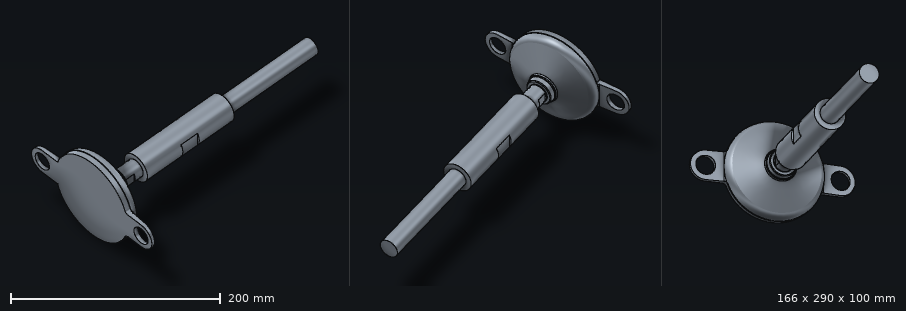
import cadquery as cq
import math


sole_radius = 49.3
rim_radius = 100.0 / 2
rim_bottom = 6.5
rim_top = 8.7
cone_bottom_radius = 45.0
cone_bottom = 16.2
shoulder_bulge_radius = 48.0
shoulder_bulge_height = 13.3
cone_top_radius = 16.2
cone_top = 26.7
lip_radius = 15.5
lip_bottom = 28.0
lip_top = 29.5
collar_bottom_radius = 14.8
collar_top_radius = 14.0
collar_edge = 34.5
collar_chamfer = 1.0
collar_top = collar_edge + collar_chamfer
seat_radius = 10.2
seat_top = 36.2

overall_length = 166.0
ear_width = 30.2
ear_hole_diameter = 19.0
corner_fillet = 4.4
corner_margin = 0.3
ear_root_thickness = 5.8
ear_tip_thickness = 3.8
ear_tip = overall_length / 2
ear_hole_offset = ear_tip - ear_width / 2

rod_diameter = 20.0
rod_end = 290.0
sleeve_diameter = 32.0
sleeve_bottom = 58.5
sleeve_top = 173.5
sleeve_flats_width = 27.3
sleeve_flats_bottom = 105.3
sleeve_flats_top = 127.0
neck_flats_width = 16.8
neck_flats_bottom = 36.8
neck_flats_top = 48.0


def cylinder(diameter, bottom, top):
    """Cylinder on the Y axis between two heights."""
    base = cq.Workplane("XZ", origin=(0, bottom, 0))
    return base.circle(diameter / 2).extrude(bottom - top)


def make_upper_foot():
    """Turned upper foot: overhanging rim, rounded shoulder, cone, lip, collar and spindle seat."""
    return (
        cq.Workplane("XY")
        .moveTo(0, rim_bottom)
        .lineTo(rim_radius, rim_bottom)
        .lineTo(rim_radius, rim_top)
        .threePointArc((shoulder_bulge_radius, shoulder_bulge_height), (cone_bottom_radius, cone_bottom))
        .lineTo(cone_top_radius, cone_top)
        .lineTo(lip_radius, lip_bottom)
        .lineTo(lip_radius, lip_top)
        .lineTo(collar_bottom_radius, lip_top)
        .lineTo(collar_top_radius, collar_edge)
        .lineTo(collar_top_radius - collar_chamfer, collar_top)
        .lineTo(seat_radius, collar_top)
        .lineTo(seat_radius, seat_top)
        .lineTo(0, seat_top)
        .close()
        .revolve(360, (0, 0, 0), (0, 1, 0))
    )


def make_sole():
    """Round sole with two ears that thin towards their tips; the +X ear has rounded inner corners."""
    bar = cq.Workplane("XZ").slot2D(overall_length, ear_width).extrude(-rim_bottom)
    corner_x = math.sqrt(sole_radius**2 - (ear_width / 2) ** 2)
    corners = cq.selectors.BoxSelector(
        (corner_x - corner_margin, -corner_margin, -ear_width),
        (corner_x + corner_margin, rim_bottom + corner_margin, ear_width),
    )
    plate = cylinder(2 * sole_radius, 0, rim_bottom).union(bar)
    plate = plate.edges("|Y").edges(corners).fillet(corner_fillet)
    taper = (
        cq.Workplane("XY")
        .polyline([
            (-ear_tip, 0),
            (ear_tip, 0),
            (ear_tip, ear_tip_thickness),
            (rim_radius, ear_root_thickness),
            (rim_radius, rim_bottom),
            (-rim_radius, rim_bottom),
            (-rim_radius, ear_root_thickness),
            (-ear_tip, ear_tip_thickness),
        ])
        .close()
        .extrude(sole_radius, both=True)
    )
    return plate.intersect(taper)


def make_foot():
    """Foot with its ears and their fixing holes, as one solid."""
    foot = make_sole().union(make_upper_foot())
    for side in (-1, 1):
        hole = cylinder(ear_hole_diameter, 0, rim_bottom)
        foot = foot.cut(hole.translate((side * ear_hole_offset, 0, 0)))
    return foot


def cut_flats(body, diameter, width, bottom, top):
    """Cut two opposite wrench flats, facing -X and +X, between two heights."""
    length = top - bottom
    slab = cq.Workplane("XY").box(width, length, diameter).translate((0, (bottom + top) / 2, 0))
    waste = cylinder(diameter, bottom, top).cut(slab)
    return body.cut(waste)


def make_spindle():
    """Rod with its thicker sleeve, standing on the seat of the foot."""
    rod = cylinder(rod_diameter, seat_top, rod_end)
    rod = cut_flats(rod, rod_diameter, neck_flats_width, neck_flats_bottom, neck_flats_top)
    sleeve = cylinder(sleeve_diameter, sleeve_bottom, sleeve_top)
    sleeve = cut_flats(sleeve, sleeve_diameter, sleeve_flats_width, sleeve_flats_bottom, sleeve_flats_top)
    return rod.union(sleeve)


foot = make_foot()
spindle = make_spindle()
result = cq.Compound.makeCompound([foot.val(), spindle.val()])